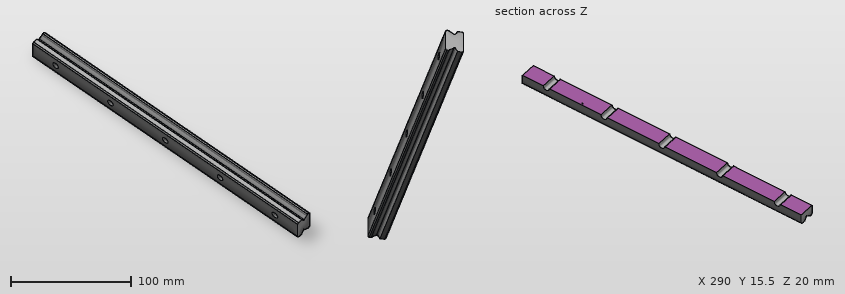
import cadquery as cq

length = 290.0
height = 15.5
width = 20.0
corner_chamfer = 1.15

foot_land_end = 5.2
relief_start = 7.1
relief_end = 8.3
ramp_top = 11.6
head_land_start = 12.7
relief_edge_depth = 3.0
relief_depth = 3.4
ramp_top_depth = 1.0

hole_diameter = 6.0
hole_pitch = 60.0
hole_count = 5


def rail_block():
    """Chamfered bar with the foot face at -Y and the head face at +Y."""
    bar = cq.Workplane("XY").box(length, height, width)
    return bar.edges("|X").chamfer(corner_chamfer)


def groove(side):
    """Cutter for the ball groove in the +Z (side = 1) or -Z (side = -1) face."""

    def point(above_foot, depth):
        return (above_foot - height / 2, side * (width / 2 - depth))

    relief_middle = (relief_start + relief_end) / 2
    return (
        cq.Workplane("YZ", origin=(-length / 2, 0, 0))
        .moveTo(*point(foot_land_end, 0))
        .lineTo(*point(relief_start, relief_edge_depth))
        .threePointArc(point(relief_middle, relief_depth), point(relief_end, relief_edge_depth))
        .lineTo(*point(ramp_top, ramp_top_depth))
        .lineTo(*point(head_land_start, 0))
        .close()
        .extrude(length)
    )


def mounting_holes():
    """Plain cylinders along Y, passing right through the rail."""
    return (
        cq.Workplane("XZ", origin=(0, height / 2, 0))
        .rarray(hole_pitch, 1, hole_count, 1)
        .circle(hole_diameter / 2)
        .extrude(height)
    )


rail = rail_block()
for side in (1, -1):
    rail = rail.cut(groove(side))
result = rail.cut(mounting_holes())